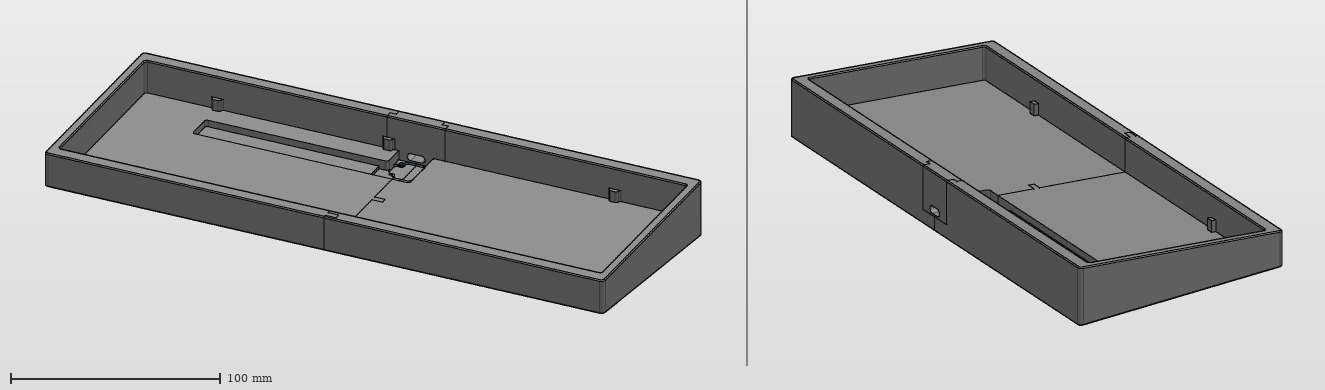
import cadquery as cq
import math

LENGTH = 295.7
DEPTH = 110.3
HEIGHT = 30.0
TILT = math.radians(6.0)
OUTER_RADIUS = 2.0
EDGE_CHAMFER = 0.5
HALF_DEPTH = DEPTH / 2
BACK_BASE = -EDGE_CHAMFER * math.sin(TILT)
FRONT_BASE = BACK_BASE + DEPTH * math.tan(TILT)

SIDE_WALL = 4.7
END_WALL = 7.5
FLOOR_Z = 12.5
INNER_RADIUS = 1.2
INNER_BACK = HALF_DEPTH - END_WALL
INNER_FRONT = -INNER_BACK

TAB_LENGTH = 5.5
TAB_WIDTH = 3.0
END_TAB_INSET = 3.3
END_TAB_Y = HALF_DEPTH - END_TAB_INSET

CLIP_HEIGHT = 6.0
CLIP_TIP_ROUND = 1.2
CLIP_BASE_FLARE = 1.0
CLIP_HALF_TIP = 1.2
BACK_CLIP_X = (-105.0, -14.5, 105.0)
FRONT_CLIP_X = 90.5
FRONT_CLIP_WIDTH = 4.0
FRONT_CLIP_REACH = 2.5

CHANNEL_LEFT = -105.5
CHANNEL_FRONT = 21.0
CHANNEL_BACK = 35.8
CHANNEL_Z = 9.0
RECESS_CORNER = 1.5
POCKET_LEFT = -14.0
BOARD_HALF_WIDTH = 9.2
SHELF_Z = 7.5
WELL_Z = 6.2
WELL_FRONT = 30.8
WELL_CORNER = 5.3
BOSS_Z = 6.8
BOSS_X = BOARD_HALF_WIDTH - WELL_CORNER / 2
BOSS_Y = (WELL_FRONT + WELL_CORNER / 2, INNER_BACK - WELL_CORNER / 2)
BOSS_CENTRES = [(side * BOSS_X, y) for side in (-1, 1) for y in BOSS_Y]
BOSS_RADIUS = 1.8
SCREW_HOLE_DIAMETER = 1.6
SCREW_HOLE_DEPTH = 3.0

PANEL_HALF_OUTER = 12.0
PANEL_HALF_INNER = 15.5
PANEL_STEP = 3.8
PORT_WIDTH = 9.5
PORT_HEIGHT = 3.8
PORT_Z = 10.3


def block(x_range, y_range, z_range):
    """Box between the given limits."""
    size = [high - low for low, high in (x_range, y_range, z_range)]
    return cq.Workplane("XY").box(*size, centered=False).translate((x_range[0], y_range[0], z_range[0]))


def make_outer_block():
    """Wedge with a level top and a tilted underside."""
    side = [(-HALF_DEPTH, FRONT_BASE), (HALF_DEPTH, BACK_BASE), (HALF_DEPTH, HEIGHT), (-HALF_DEPTH, HEIGHT)]
    wedge = cq.Workplane("YZ").polyline(side).close().extrude(LENGTH / 2, both=True)
    return wedge.edges("|Z").fillet(OUTER_RADIUS)


def make_cavity():
    """Tray volume, with a level floor."""
    half_inside = LENGTH / 2 - SIDE_WALL
    cavity = block((-half_inside, half_inside), (INNER_FRONT, INNER_BACK), (FLOOR_Z, HEIGHT))
    return cavity.edges("|Z").fillet(INNER_RADIUS)


def make_tray():
    """Hollow wedge with every rim and underside edge chamfered."""
    tray = make_outer_block().cut(make_cavity())
    return tray.faces(">Z or <Z").edges().chamfer(EDGE_CHAMFER)


def make_channel():
    """Shallow cable channel with a rounded closed end, running into the board pocket."""
    past_corner = POCKET_LEFT + RECESS_CORNER
    channel = block((CHANNEL_LEFT, past_corner), (CHANNEL_FRONT, CHANNEL_BACK), (CHANNEL_Z, FLOOR_Z))
    return channel.edges("|Z and <X").fillet(RECESS_CORNER)


def make_well():
    """Deepest part of the board recess: an octagon with a low screw boss on each cut corner."""
    well = block((-BOARD_HALF_WIDTH, BOARD_HALF_WIDTH), (WELL_FRONT, INNER_BACK), (WELL_Z, FLOOR_Z))
    well = well.edges("|Z").chamfer(WELL_CORNER)
    bosses = (
        cq.Workplane("XY", origin=(0, 0, WELL_Z)).pushPoints(BOSS_CENTRES)
        .circle(BOSS_RADIUS).extrude(BOSS_Z - WELL_Z)
    )
    return well.cut(bosses)


def corner_relief():
    """Rounds the convex corner between the channel and the board bay."""
    r = RECESS_CORNER
    corner_x = -BOARD_HALF_WIDTH
    square = block((corner_x - r, corner_x), (CHANNEL_BACK, CHANNEL_BACK + r), (SHELF_Z, FLOOR_Z))
    quarter = (
        cq.Workplane("XY", origin=(corner_x - r, CHANNEL_BACK + r, SHELF_Z))
        .circle(r).extrude(FLOOR_Z - SHELF_Z)
    )
    return square.cut(quarter)


def make_board_recess():
    """Shelf pocket with the well and screw holes below it."""
    pocket = block((POCKET_LEFT, BOARD_HALF_WIDTH), (CHANNEL_FRONT, CHANNEL_BACK), (SHELF_Z, FLOOR_Z))
    pocket = pocket.edges("|Z and <Y").fillet(RECESS_CORNER)
    bay = block((-BOARD_HALF_WIDTH, BOARD_HALF_WIDTH), (CHANNEL_BACK, INNER_BACK), (SHELF_Z, FLOOR_Z))
    holes = (
        cq.Workplane("XY", origin=(0, 0, SHELF_Z)).pushPoints(BOSS_CENTRES)
        .circle(SCREW_HOLE_DIAMETER / 2).extrude(-SCREW_HOLE_DEPTH)
    )
    floor_cut = pocket.union(bay).union(corner_relief())
    return floor_cut.union(make_well()).union(holes)


def make_back_clip(x):
    """Bump on the back wall with a rounded tip and flared base."""
    side_x = CLIP_HALF_TIP + CLIP_TIP_ROUND
    base_x = side_x + CLIP_BASE_FLARE
    reach = CLIP_TIP_ROUND + CLIP_BASE_FLARE
    diagonal = math.sqrt(0.5)
    flare_x = base_x - diagonal * CLIP_BASE_FLARE
    flare_y = -(1 - diagonal) * CLIP_BASE_FLARE
    round_x = CLIP_HALF_TIP + diagonal * CLIP_TIP_ROUND
    round_y = -CLIP_BASE_FLARE - diagonal * CLIP_TIP_ROUND
    return (
        cq.Workplane("XY", origin=(x, INNER_BACK, FLOOR_Z))
        .moveTo(-base_x, 0)
        .threePointArc((-flare_x, flare_y), (-side_x, -CLIP_BASE_FLARE))
        .threePointArc((-round_x, round_y), (-CLIP_HALF_TIP, -reach))
        .lineTo(CLIP_HALF_TIP, -reach)
        .threePointArc((round_x, round_y), (side_x, -CLIP_BASE_FLARE))
        .threePointArc((flare_x, flare_y), (base_x, 0))
        .close()
        .extrude(CLIP_HEIGHT)
    )


def make_front_clip(x):
    """Plain block on the front wall."""
    half = FRONT_CLIP_WIDTH / 2
    return block(
        (x - half, x + half),
        (INNER_FRONT, INNER_FRONT + FRONT_CLIP_REACH),
        (FLOOR_Z, FLOOR_Z + CLIP_HEIGHT),
    )


def make_panel_slot():
    """Stepped space in the back wall, wider on the inside."""
    step_y = HALF_DEPTH - PANEL_STEP
    z_range = (SHELF_Z, HEIGHT)
    outer = block((-PANEL_HALF_OUTER, PANEL_HALF_OUTER), (step_y, HALF_DEPTH), z_range)
    inner = block((-PANEL_HALF_INNER, PANEL_HALF_INNER), (INNER_BACK, step_y), z_range)
    return outer.union(inner)


def make_left_region():
    """Space left of the joint, including the three tabs."""
    region = block((-LENGTH, 0), (-DEPTH, DEPTH), (-HEIGHT, 2 * HEIGHT))
    for y in (-END_TAB_Y, 0, END_TAB_Y):
        tab = block(
            (-TAB_LENGTH, TAB_LENGTH),
            (y - TAB_WIDTH / 2, y + TAB_WIDTH / 2),
            (-HEIGHT, 2 * HEIGHT),
        )
        region = region.union(tab)
    return region


tray = make_tray()

panel_slot = make_panel_slot()
port = (
    cq.Workplane("XZ", origin=(0, DEPTH, PORT_Z))
    .slot2D(PORT_WIDTH, PORT_HEIGHT).extrude(2 * DEPTH)
)
port_panel = tray.intersect(panel_slot).cut(port)

case = tray.cut(panel_slot).cut(make_channel()).cut(make_board_recess())
for clip_x in BACK_CLIP_X:
    case = case.union(make_back_clip(clip_x))
for clip_x in (-FRONT_CLIP_X, FRONT_CLIP_X):
    case = case.union(make_front_clip(clip_x))

left_region = make_left_region()
left_case = case.intersect(left_region)
right_case = case.cut(left_region)

result = cq.Compound.makeCompound([left_case.val(), right_case.val(), port_panel.val()])